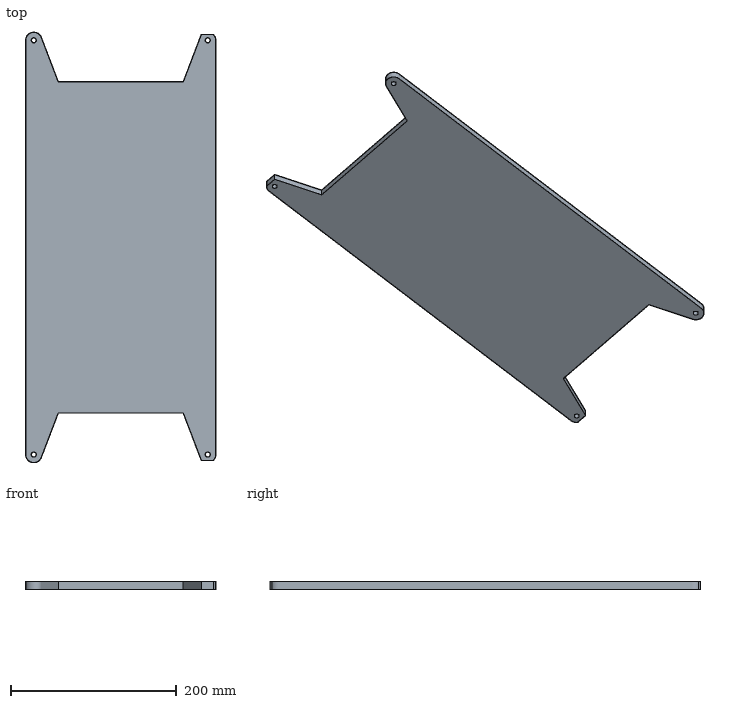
import cadquery as cq
import math

length = 520.0
width = 230.0
thickness = 10.0
tip_radius = 10.0
hole_diameter = 5.5
notch_depth = 60.0
arm_root_width = 39.5
flat_tip_height = 7.5

side_x = width / 2
hole_x = side_x - tip_radius
hole_y = length / 2 - tip_radius
notch_x = side_x - arm_root_width
notch_y = length / 2 - notch_depth
flat_y = hole_y + flat_tip_height

run_x = hole_x - notch_x
run_y = hole_y - notch_y
slope_angle = math.atan2(run_x, run_y) - math.asin(tip_radius / math.hypot(run_x, run_y))
tangent_x = hole_x - tip_radius * math.cos(slope_angle)
tangent_y = hole_y + tip_radius * math.sin(slope_angle)

flat_inner_x = notch_x + (flat_y - notch_y) * math.tan(slope_angle)
flat_half_chord = math.sqrt(tip_radius**2 - flat_tip_height**2)
flat_outer_x = hole_x + flat_half_chord
corner_angle = math.atan2(flat_tip_height, flat_half_chord) / 2
corner_mid = (
    hole_x + tip_radius * math.cos(corner_angle),
    hole_y + tip_radius * math.sin(corner_angle),
)


def upper_half():
    """Panel half above the X axis, with one rounded and one flat-ended arm."""
    return (
        cq.Workplane("XY")
        .moveTo(-side_x, 0)
        .lineTo(-side_x, hole_y)
        .threePointArc((-hole_x, length / 2), (-tangent_x, tangent_y))
        .lineTo(-notch_x, notch_y)
        .lineTo(notch_x, notch_y)
        .lineTo(flat_inner_x, flat_y)
        .lineTo(flat_outer_x, flat_y)
        .threePointArc(corner_mid, (side_x, hole_y))
        .lineTo(side_x, 0)
        .close()
        .extrude(thickness)
    )


def mounting_holes():
    """Through holes at the four arm tips."""
    return (
        cq.Workplane("XY")
        .rect(2 * hole_x, 2 * hole_y, forConstruction=True)
        .vertices()
        .circle(hole_diameter / 2)
        .extrude(thickness)
    )


half = upper_half()
panel = half.union(half.mirror("XZ")).clean()
result = panel.cut(mounting_holes())